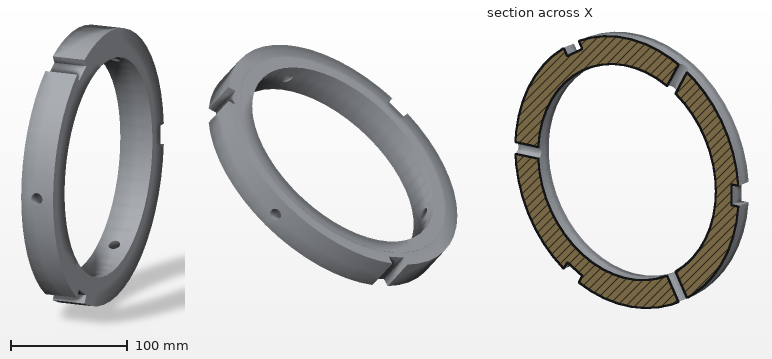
import cadquery as cq

outer_diameter = 239.8
bore_diameter = 190.0
width = 30.0

land_diameter = 214.0
land_height = 0.2

slot_count = 3
slot_width = 18.2
slot_floor_radius = 112.0

hole_diameter = 10.0

outer_radius = outer_diameter / 2
slot_pitch = 360 / slot_count


def turn_about_axis(body, angle):
    return body.rotate((0, 0, 0), (1, 0, 0), angle)


def spanner_slot():
    """Flat-floored slot on +Y, open across the full width of the ring."""
    return cq.Workplane("XY").box(
        width, outer_radius, slot_width, centered=(True, False, True)
    ).translate((0, slot_floor_radius, 0))


def radial_hole():
    """Round hole on -Y, from the rim through to the bore."""
    return cq.Workplane("XZ").circle(hole_diameter / 2).extrude(outer_diameter)


def rim_relief():
    """Thin annular cut on the -X face that leaves the land standing."""
    return (
        cq.Workplane("YZ", origin=(-width / 2, 0, 0))
        .circle(outer_radius)
        .circle(land_diameter / 2)
        .extrude(land_height)
    )


ring = (
    cq.Workplane("YZ")
    .circle(outer_radius)
    .circle(bore_diameter / 2)
    .extrude(width / 2, both=True)
    .cut(rim_relief())
)

for index in range(slot_count):
    angle = index * slot_pitch
    ring = ring.cut(turn_about_axis(spanner_slot(), angle))
    ring = ring.cut(turn_about_axis(radial_hole(), angle))

result = ring